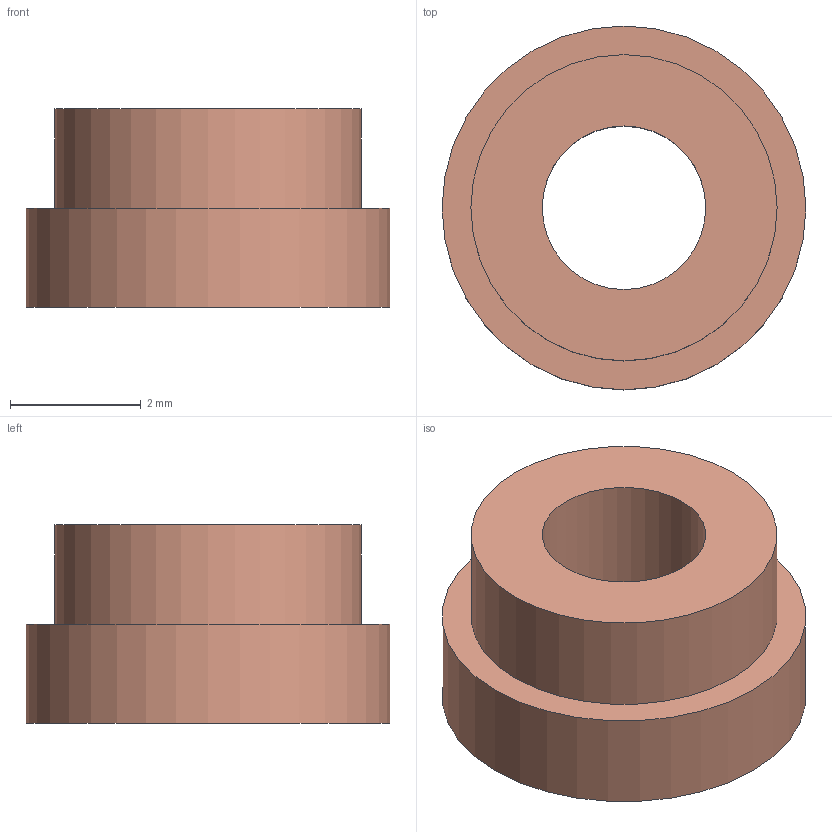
import cadquery as cq

flange_diameter = 5.56
neck_diameter = 4.68
bore_diameter = 2.5
total_height = 3.03
flange_height = 1.51

neck_height = total_height - flange_height


def make_body():
    """Round flange with a smaller concentric neck standing on top of it."""
    flange = cq.Workplane("XY").circle(flange_diameter / 2).extrude(flange_height)
    return flange.faces(">Z").workplane().circle(neck_diameter / 2).extrude(neck_height)


def cut_bore(body):
    """Plain through bore along the axis of the bushing."""
    return body.faces(">Z").workplane().hole(bore_diameter)


result = cut_bore(make_body())